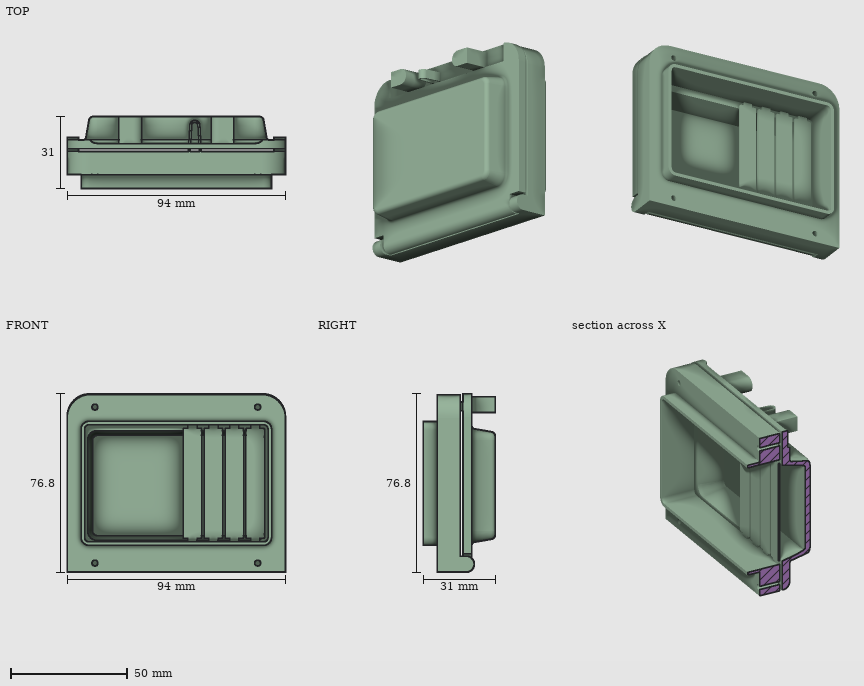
import cadquery as cq
import math

width = 94.0
depth = 31.0
frame_height = 76.4
lid_height = 76.8
corner_radius = 10.0
clearance = 1.0

collar_depth = 6.0
frame_back = 16.0
lid_front = frame_back + clearance
lid_back = 21.0

collar_width = 82.0
collar_height = 53.4
collar_center_z = 38.3
collar_radius = 3.5
collar_wall = 1.5
opening_width = collar_width - 2 * collar_wall
opening_height = collar_height - 2 * collar_wall

hole_diameter = 2.5
hole_spacing_x = 70.0
hole_rows_z = (3.95, 71.1)

ear_width = 5.0
ear_height = 7.0
ear_back = 22.0

dome_width = 78.2
dome_height = 49.3
dome_center_z = 37.3
dome_radius = 5.1
dome_draft = 10.0
dome_wall = 1.7
dome_floor = 2.3
dome_edge_fillet = 2.0
dome_root_fillet = 1.0

recess_width = 75.95
recess_depth = 1.6
recess_radius = 4.0

lug_inner_x = 14.9
lug_length = 9.8
lug_height = 7.0
lug_bottom = 68.6
lug_top = lug_bottom + lug_height

clip_x = 8.0
clip_bottom = 69.4
clip_height = 3.95
clip_thickness = 0.8
clip_tip_y = 29.3
clip_tip_radius = 2.2
clip_base_half_width = 2.8

slat_count = 4
slat_first_x = 2.9
slat_width = 8.0
slat_pitch = 9.0
slat_thickness = 1.0
slat_neck_width = 4.0
slat_neck_length = 1.5
slat_corner_radius = 0.6


def box(x_min, x_max, y_min, y_max, z_min, z_max):
    """Block given by its limits along each axis."""
    size = (x_max - x_min, y_max - y_min, z_max - z_min)
    return cq.Workplane("XY").box(*size, centered=False).translate((x_min, y_min, z_min))


def upright_plate(y_front, y_back, plate_height):
    """Full-width plate with its two top corners rounded."""
    plate = box(-width / 2, width / 2, y_front, y_back, 0, plate_height)
    return plate.edges("|Y and >Z").fillet(corner_radius)


def rounded_block(size_x, size_z, radius, center_z, y_front, y_back):
    """Block centred on X, with the edges along Y rounded."""
    block = box(-size_x / 2, size_x / 2, y_front, y_back, center_z - size_z / 2, center_z + size_z / 2)
    return block.edges("|Y").fillet(radius)


def drafted_block(size_x, size_z, radius, y_front, y_back):
    """Block on the dome centre that narrows toward the back at the dome draft."""
    sketch = cq.Sketch().rect(size_z, size_x).vertices().fillet(radius)
    base = cq.Workplane("ZX", origin=(0, y_front, dome_center_z))
    return base.placeSketch(sketch).extrude(y_back - y_front, taper=dome_draft)


def hinge_ear(x_min):
    """Foot reaching back from the frame, ending in a full round."""
    ear_radius = ear_height / 2
    return (
        cq.Workplane("YZ", origin=(x_min, 0, 0))
        .moveTo(frame_back, 0)
        .lineTo(ear_back - ear_radius, 0)
        .threePointArc((ear_back, ear_radius), (ear_back - ear_radius, ear_height))
        .lineTo(frame_back, ear_height)
        .close()
        .extrude(ear_width)
    )


def make_frame():
    collar = rounded_block(
        collar_width, collar_height, collar_radius, collar_center_z, 0, collar_depth
    )
    opening = rounded_block(
        opening_width, opening_height, collar_radius - collar_wall, collar_center_z, 0, frame_back
    )
    hole_points = [(side * hole_spacing_x / 2, z) for side in (-1, 1) for z in hole_rows_z]
    holes = cq.Workplane("XZ").pushPoints(hole_points).circle(hole_diameter / 2).extrude(-frame_back)
    frame = upright_plate(collar_depth, frame_back, frame_height).union(collar)
    frame = frame.union(hinge_ear(-width / 2)).union(hinge_ear(width / 2 - ear_width))
    return frame.cut(opening).cut(holes)


def make_slats():
    """Slats flush with the frame back, held in the opening by narrow necks at both ends."""
    body_height = opening_height - 2 * slat_neck_length
    slats = cq.Workplane("XY")
    for index in range(slat_count):
        center_x = slat_first_x + slat_width / 2 + index * slat_pitch
        plane = cq.Workplane("XZ", origin=(center_x, frame_back, collar_center_z))
        body = plane.rect(slat_width, body_height).extrude(slat_thickness)
        body = body.edges("|Y").fillet(slat_corner_radius)
        neck = plane.rect(slat_neck_width, opening_height).extrude(slat_thickness)
        slats = slats.union(body).union(neck)
    return slats


def make_lid():
    plate = upright_plate(lid_front, lid_back, lid_height)
    notch_width = ear_width + clearance
    notch_height = ear_height + clearance
    for x_min in (-width / 2, width / 2 - notch_width):
        plate = plate.cut(box(x_min, x_min + notch_width, lid_front, lid_back, 0, notch_height))
    plate = plate.edges(">Y and <Z").fillet(ear_height / 2)

    dome = drafted_block(dome_width, dome_height, dome_radius, lid_back, depth)
    dome = dome.faces(">Y").edges().fillet(dome_edge_fillet)
    lid = plate.union(dome)
    margin = 0.1
    half_x = dome_width / 2 + margin
    half_z = dome_height / 2 + margin
    root_zone = cq.selectors.BoxSelector(
        (-half_x, lid_back - margin, dome_center_z - half_z),
        (half_x, lid_back + margin, dome_center_z + half_z),
        boundingbox=True,
    )
    lid = lid.edges(root_zone).fillet(dome_root_fillet)

    flare = (lid_back - lid_front) * math.tan(math.radians(dome_draft))
    inset = dome_wall - flare
    hollow_width = dome_width - 2 * inset
    hollow_height = dome_height - 2 * inset
    hollow_back = depth - dome_floor
    hollow = drafted_block(hollow_width, hollow_height, dome_radius - inset, lid_front, hollow_back)

    recess = box(
        -recess_width / 2, recess_width / 2, lid_back - recess_depth, depth, lug_bottom, lid_height
    )
    recess = recess.edges("|Z and <Y").fillet(recess_radius)
    return lid.cut(hollow).cut(recess)


def make_lugs():
    lug_radius = lug_height / 2
    lug_y = lid_back - recess_depth
    lug = (
        cq.Workplane("XZ", origin=(0, lug_y, 0))
        .moveTo(lug_inner_x + lug_length, lug_bottom)
        .lineTo(lug_inner_x + lug_radius, lug_bottom)
        .threePointArc((lug_inner_x, lug_bottom + lug_radius), (lug_inner_x + lug_radius, lug_top))
        .lineTo(lug_inner_x + lug_length, lug_top)
        .close()
        .extrude(lug_y - depth)
    )
    return lug.union(lug.mirror("YZ"))


def clip_outline(inset):
    """Loop-shaped prism: splayed legs from the frame back to a round tip."""
    tip_radius = clip_tip_radius - inset
    base_half = clip_base_half_width - inset
    tip_center_y = clip_tip_y - clip_tip_radius
    return (
        cq.Workplane("XY", origin=(clip_x, 0, clip_bottom))
        .moveTo(-base_half, frame_back)
        .lineTo(-tip_radius, tip_center_y)
        .threePointArc((0, tip_center_y + tip_radius), (tip_radius, tip_center_y))
        .lineTo(base_half, frame_back)
        .close()
        .extrude(clip_height)
    )


def make_clip():
    """The clip passes through the lid and joins it to the frame."""
    return clip_outline(0).cut(clip_outline(clip_thickness))


result = make_frame().union(make_slats()).union(make_lid()).union(make_lugs()).union(make_clip())